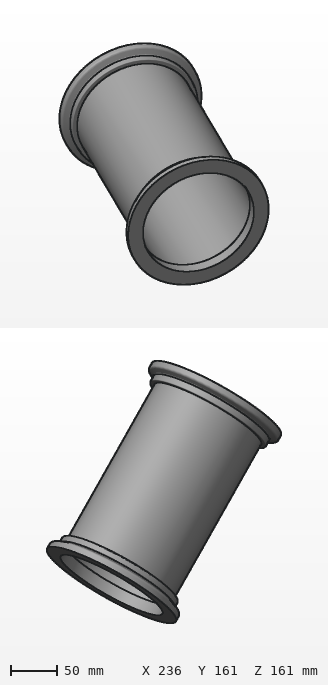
import cadquery as cq
import math

overall_length = 236.0
bore_diameter = 127.0
tube_diameter = 133.0

flange_diameter = 161.0
hub_diameter = 144.0
flange_length = 19.5
socket_start = 14.0
rim_width = 7.8
taper_angle = 20.0
rim_fillet = 2.8
root_fillet = 1.5
hub_edge_fillet = 1.0

match_tolerance = 0.02

bore_radius = bore_diameter / 2
tube_radius = tube_diameter / 2
flange_radius = flange_diameter / 2
hub_radius = hub_diameter / 2
half_length = overall_length / 2
taper_width = (flange_radius - hub_radius) * math.tan(math.radians(taper_angle))
taper_end = rim_width + taper_width


def fillet_circle(body, axial_position, circle_radius, fillet_radius):
    """Round the circular edge around X that has the given position and radius."""
    circles = [
        edge
        for edge in body.edges("%CIRCLE").vals()
        if math.isclose(edge.Center().x, axial_position, abs_tol=match_tolerance)
        and math.isclose(edge.radius(), circle_radius, abs_tol=match_tolerance)
    ]
    return body.newObject(circles).fillet(fillet_radius)


def make_flange():
    """Tapered clamp flange with a hub and tube socket, sealing face at X = 0."""
    profile = [
        (0, bore_radius),
        (0, flange_radius),
        (rim_width, flange_radius),
        (taper_end, hub_radius),
        (flange_length, hub_radius),
        (flange_length, tube_radius),
        (socket_start, tube_radius),
        (socket_start, bore_radius),
    ]
    flange = cq.Workplane("XY").polyline(profile).close().revolve(360, (0, 0, 0), (1, 0, 0))
    flange = fillet_circle(flange, rim_width, flange_radius, rim_fillet)
    flange = fillet_circle(flange, taper_end, hub_radius, root_fillet)
    return fillet_circle(flange, flange_length, hub_radius, hub_edge_fillet)


def make_tube():
    """Plain tube whose ends seat on the shoulders of the flange sockets."""
    tube_length = overall_length - 2 * socket_start
    return (
        cq.Workplane("YZ", origin=(-tube_length / 2, 0, 0))
        .circle(tube_radius)
        .circle(bore_radius)
        .extrude(tube_length)
    )


tube = make_tube()

flanges = []
for turn_angle in (0, 180):
    flange = make_flange().translate((-half_length, 0, 0))
    flanges.append(flange.rotate((0, 0, 0), (0, 0, 1), turn_angle))

result = cq.Compound.makeCompound([tube.val(), *[flange.val() for flange in flanges]])